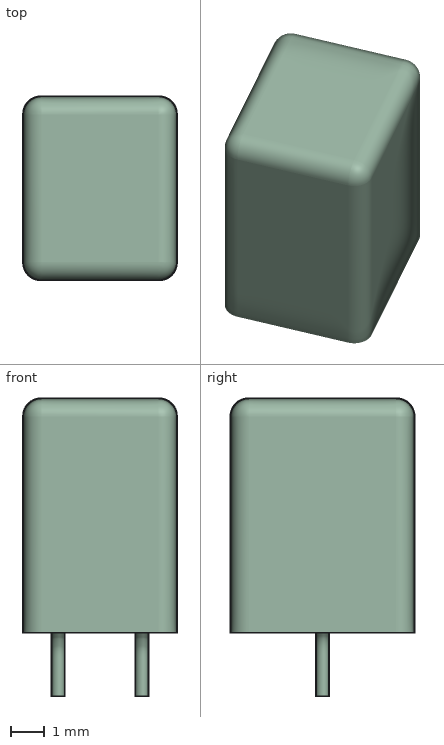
import cadquery as cq

body_width = 4.6
body_depth = 5.5
total_height = 8.9

pin_length = 1.9
pin_diameter = 0.4
pin_spacing = 2.5

edge_radius = 0.55

body_height = total_height - pin_length


def make_body():
    """Rectangular case with its base at Z = 0, sharp only around the base."""
    block = cq.Workplane("XY").box(body_width, body_depth, body_height, centered=(True, True, False))
    return block.edges("|Z or >Z").fillet(edge_radius)


def make_pins():
    """Two round pins hanging from the base, spaced along X."""
    pin_centres = [(-pin_spacing / 2, 0), (pin_spacing / 2, 0)]
    return cq.Workplane("XY").pushPoints(pin_centres).circle(pin_diameter / 2).extrude(-pin_length)


result = make_body().union(make_pins())